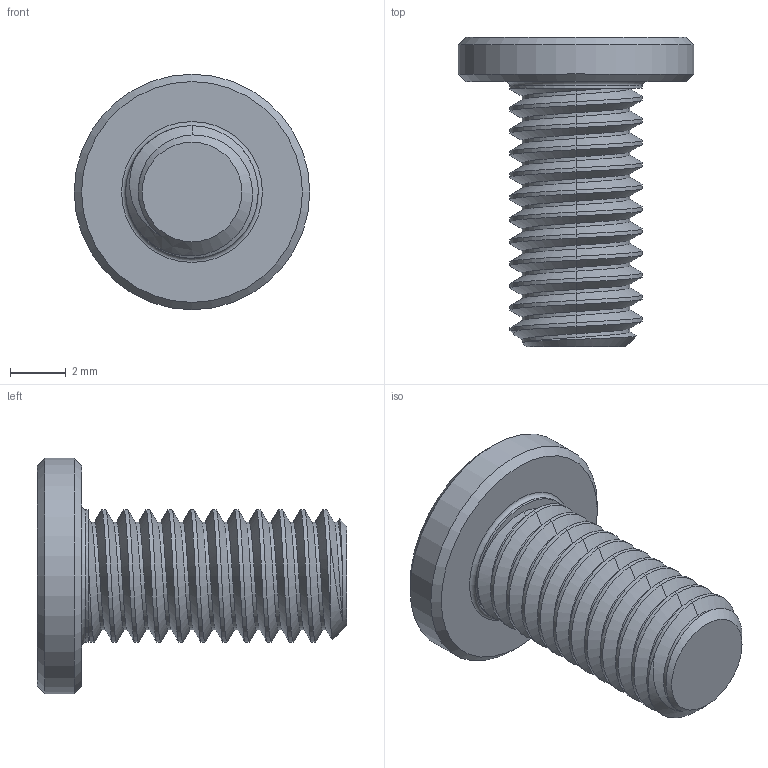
import cadquery as cq
import math

HEAD_DIAMETER = 8.46
HEAD_HEIGHT = 1.5875
HEAD_CHAMFER = HEAD_HEIGHT / 6
SHANK_LENGTH = 9.525

MAJOR_DIAMETER = 4.76
ROOT_DIAMETER = 3.86
PITCH = 25.4 / 32
ROOT_FLAT = PITCH / 6
FLANK_HALF_ANGLE = math.radians(30)

NECK_FILLET = 0.15
NECK_LENGTH = 0.3 * PITCH
TIP_CHAMFER = 0.592
SPARE_TURNS = 2
TRIM_CLEARANCE = 0.5

major_radius = MAJOR_DIAMETER / 2
root_radius = ROOT_DIAMETER / 2
flank_length = (major_radius - root_radius) * math.tan(FLANK_HALF_ANGLE)
crest_flat = PITCH - ROOT_FLAT - 2 * flank_length
threaded_length = SHANK_LENGTH - NECK_LENGTH


def make_head_and_neck():
    """Chamfered disc head with a filleted plain neck, as one revolved profile."""
    head_radius = HEAD_DIAMETER / 2
    face_radius = head_radius - HEAD_CHAMFER
    profile = (
        cq.Workplane("YZ")
        .moveTo(HEAD_HEIGHT, 0)
        .lineTo(HEAD_HEIGHT, face_radius)
        .lineTo(HEAD_HEIGHT - HEAD_CHAMFER, head_radius)
        .lineTo(HEAD_CHAMFER, head_radius)
        .lineTo(0, face_radius)
        .lineTo(0, major_radius + NECK_FILLET)
        .radiusArc((-NECK_FILLET, major_radius), NECK_FILLET)
        .lineTo(-NECK_LENGTH, major_radius)
        .lineTo(-NECK_LENGTH, 0)
        .close()
    )
    return profile.revolve(360, (0, 0, 0), (1, 0, 0))


def helix_turn(radius, start_height):
    """One right-handed turn about Z, starting on the XZ plane at +X."""
    turn = cq.Wire.makeHelix(PITCH, PITCH, radius)
    return turn.moved(cq.Location(cq.Vector(0, 0, start_height)))


def make_helicoid(start_height):
    """One turn of helicoid from the axis out to the root of the thread."""
    axis = cq.Edge.makeLine(
        cq.Vector(0, 0, start_height),
        cq.Vector(0, 0, start_height + PITCH),
    )
    rim = helix_turn(root_radius, start_height)
    return cq.Face.makeRuledSurface(cq.Wire.assembleEdges([axis]), rim).Faces()


def make_thread_rod():
    """Solid threaded rod along Z, longer than needed at both ends.

    Every turn is a set of helical strips (flank, crest, flank, root). Each end is
    closed by a helicoid and by a flat face through the axis.
    """
    profile = [
        (root_radius, 0),
        (major_radius, flank_length),
        (major_radius, flank_length + crest_flat),
        (root_radius, 2 * flank_length + crest_flat),
        (root_radius, PITCH),
    ]
    start = -flank_length - crest_flat / 2 - SPARE_TURNS * PITCH
    turn_count = math.ceil(threaded_length / PITCH) + 2 * SPARE_TURNS
    end = start + turn_count * PITCH

    faces = make_helicoid(start) + make_helicoid(end)
    for turn in range(turn_count):
        base = start + turn * PITCH
        edges = [helix_turn(radius, base + height) for radius, height in profile]
        for lower, upper in zip(edges, edges[1:]):
            faces += cq.Face.makeRuledSurface(lower, upper).Faces()
    for base in (start, end):
        points = [cq.Vector(radius, 0, base + height) for radius, height in profile]
        points += [cq.Vector(0, 0, base + PITCH), cq.Vector(0, 0, base)]
        faces.append(cq.Face.makeFromWires(cq.Wire.makePolygon(points, close=True)))
    return cq.Workplane(cq.Solid.makeSolid(cq.Shell.makeShell(faces)))


def make_threaded_shank():
    """Threaded rod trimmed flat at the neck and to a 45 degree cone at the tip."""
    trim_radius = major_radius + TRIM_CLEARANCE
    envelope = (
        cq.Workplane("XY")
        .circle(trim_radius)
        .extrude(threaded_length)
        .faces("<Z")
        .chamfer(TIP_CHAMFER + TRIM_CLEARANCE)
    )
    shank = make_thread_rod().intersect(envelope)
    shank = shank.rotate((0, 0, 0), (0, 0, 1), -90).rotate((0, 0, 0), (1, 0, 0), -90)
    return shank.translate((0, -SHANK_LENGTH, 0))


result = make_head_and_neck().union(make_threaded_shank())